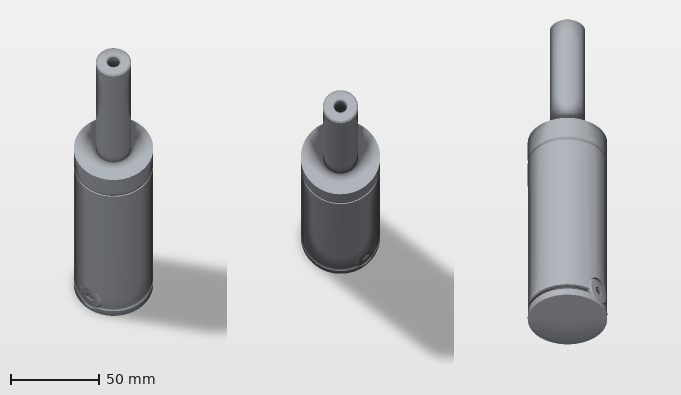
import cadquery as cq
import math

total_height = 210.0
body_height = 128.0
body_radius = 22.5
rod_radius = 9.98

base_groove_bottom = 4.5
base_groove_top = 7.5
base_groove_depth = 2.5

head_groove_bottom = 112.4
head_groove_floor_top = 113.8
head_groove_top = 114.7
head_groove_depth = 0.6

rod_chamfer = 0.8
rod_hole_diameter = 7.1
rod_hole_mouth_diameter = 8.5
rod_hole_depth = 21.0
drill_point_angle = 118.0

port_height = 10.5
port_radius = 8.2
plug_face_depth = 0.8
plug_seat_depth = 4.2
plug_chamfer = 1.0
socket_across_flats = 5.0
socket_depth = 3.2


def make_cylinder_and_rod():
    """Revolve the body, both grooves and the rod about Z."""
    base_floor_radius = body_radius - base_groove_depth
    head_floor_radius = body_radius - head_groove_depth
    outline = [
        (0, 0),
        (body_radius, 0),
        (body_radius, base_groove_bottom),
        (base_floor_radius, base_groove_bottom),
        (base_floor_radius, base_groove_top),
        (body_radius, base_groove_top),
        (body_radius, head_groove_bottom),
        (head_floor_radius, head_groove_bottom),
        (head_floor_radius, head_groove_floor_top),
        (body_radius, head_groove_top),
        (body_radius, body_height),
        (rod_radius, body_height),
        (rod_radius, total_height - rod_chamfer),
        (rod_radius - rod_chamfer, total_height),
        (0, total_height),
    ]
    return cq.Workplane("XZ").polyline(outline).close().revolve(360, (0, 0, 0), (0, 1, 0))


def drill_rod_end(part):
    """Drill a blind hole with a conical bottom in the rod end and chamfer its mouth."""
    hole_radius = rod_hole_diameter / 2
    mouth_radius = rod_hole_mouth_diameter / 2
    mouth_chamfer = mouth_radius - hole_radius
    hole_bottom = total_height - rod_hole_depth
    point_depth = hole_radius / math.tan(math.radians(drill_point_angle / 2))
    outline = [
        (0, total_height),
        (mouth_radius, total_height),
        (hole_radius, total_height - mouth_chamfer),
        (hole_radius, hole_bottom),
        (0, hole_bottom - point_depth),
    ]
    hole = cq.Workplane("XZ").polyline(outline).close().revolve(360, (0, 0, 0), (0, 1, 0))
    return part.cut(hole)


def port_plane(depth):
    """Plane facing -Y on the port axis, at a depth below the body's -Y side."""
    return cq.Workplane("XZ", origin=(0, depth - body_radius, port_height))


def add_port(part):
    """Bore the plug seat, fit the chamfered plug in it and cut the hexagon socket."""
    seat = port_plane(0).circle(port_radius).extrude(-plug_seat_depth)
    plug = port_plane(plug_face_depth).circle(port_radius).extrude(plug_face_depth - plug_seat_depth)
    plug = plug.faces("<Y").chamfer(plug_chamfer)
    socket_across_corners = socket_across_flats / math.cos(math.radians(30))
    socket = (
        port_plane(plug_face_depth)
        .transformed(rotate=(0, 0, 90))
        .polygon(6, socket_across_corners)
        .extrude(-socket_depth)
    )
    return part.cut(seat).union(plug).cut(socket)


result = add_port(drill_rod_end(make_cylinder_and_rod()))